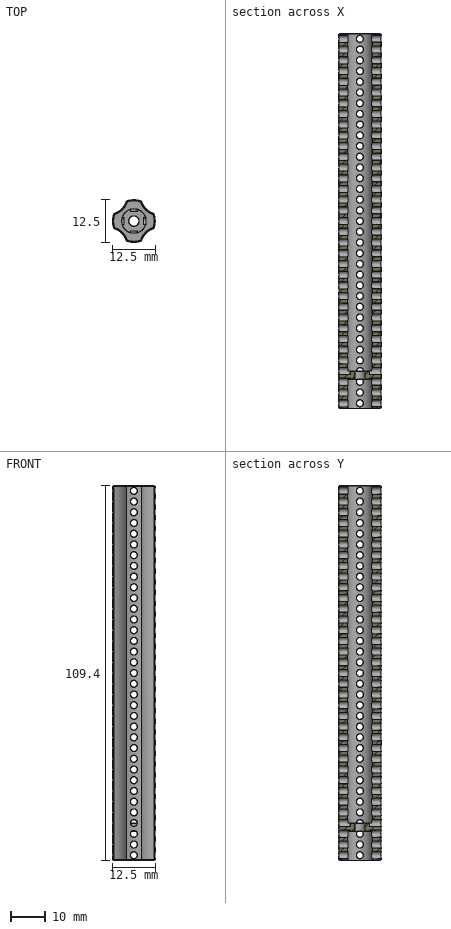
import cadquery as cq
import math

length = 109.4
outer_diameter = 12.5
lobe_width = 4.4
valley_distance = 5.0
end_chamfer = 0.3
bore_diameter = 7.1
web_top = 10.9
web_bottom = 8.5
web_hole_diameter = 3.0
side_hole_diameter = 2.0
side_hole_count = 35
side_hole_floor = 2.8
side_count = 4

outer_radius = outer_diameter / 2
half_lobe = lobe_width / 2
corner_distance = math.sqrt(outer_radius**2 - half_lobe**2)
valley_offset = valley_distance * math.sqrt(0.5)
hole_pitch = length / side_hole_count
side_angle = 360 / side_count


def turned(x, y, turn):
    """Point (x, y) rotated about the axis by turn radians."""
    return (
        x * math.cos(turn) - y * math.sin(turn),
        x * math.sin(turn) + y * math.cos(turn),
    )


def make_body():
    """Four round-ended lobes joined by concave arcs, extruded along Z."""
    outline = cq.Workplane("XY").moveTo(corner_distance, -half_lobe)
    for lobe in range(side_count):
        turn = math.radians(side_angle * lobe)
        outline = outline.threePointArc(
            turned(outer_radius, 0, turn),
            turned(corner_distance, half_lobe, turn),
        )
        outline = outline.threePointArc(
            turned(valley_offset, valley_offset, turn),
            turned(half_lobe, corner_distance, turn),
        )
    body = outline.close().extrude(length)
    return body.faces("<Z or >Z").edges().chamfer(end_chamfer)


def make_cylinder(diameter, bottom, top):
    """Cylinder on the part axis between two heights."""
    return cq.Workplane("XY", origin=(0, 0, bottom)).circle(diameter / 2).extrude(top - bottom)


def make_bores():
    """Bores from both ends, leaving a web with a small central hole."""
    upper_bore = make_cylinder(bore_diameter, web_top, length)
    lower_bore = make_cylinder(bore_diameter, 0, web_bottom)
    web_hole = make_cylinder(web_hole_diameter, 0, length)
    return upper_bore.union(lower_bore).union(web_hole)


def make_side_hole_row():
    """Evenly spaced flat-bottomed holes that enter the +X lobe."""
    centres = [(0, (index + 0.5) * hole_pitch) for index in range(side_hole_count)]
    return (
        cq.Workplane("YZ", origin=(side_hole_floor, 0, 0))
        .pushPoints(centres)
        .circle(side_hole_diameter / 2)
        .extrude(outer_radius - side_hole_floor)
    )


result = make_body().cut(make_bores())
hole_row = make_side_hole_row()
for side in range(side_count):
    result = result.cut(hole_row.rotate((0, 0, 0), (0, 0, 1), side_angle * side))